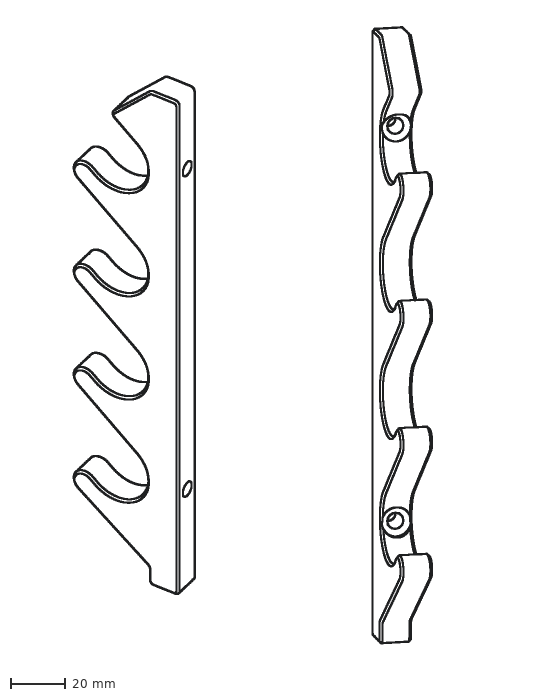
import cadquery as cq
import math

height = 231.0
depth = 46.7
thickness = 12.0
edge_chamfer = 1.0
corner_radius = 2.0

hook_count = 4
pitch = 48.3
saddle_radius = 13.6
tip_radius = 5.0
saddle_x = -27.5
top_saddle_z = 193.0

top_width = 12.5
beak_angle = 45.0
beak_radius = 2.0
foot_width = 13.2
foot_height = 8.0

hole_diameter = 6.0
sink_diameter = 11.0
sink_angle = 120.0
hole_heights = (46.5, 196.4)

hook_angle = math.acos(2 * (saddle_radius + tip_radius) / pitch)
normal = (math.sin(hook_angle), math.cos(hook_angle))
tip_x = tip_radius - depth
flank_length = (
    saddle_x - tip_x - (saddle_radius + tip_radius) * normal[0]
) / math.cos(hook_angle)
tip_drop = (saddle_radius + tip_radius) * normal[1] - flank_length * math.sin(hook_angle)


def along(center, direction, distance):
    """Point at a distance from a centre along a unit direction."""
    return (center[0] + distance * direction[0], center[1] + distance * direction[1])


def underside_normal_to(tip, corner):
    """Unit normal, pointing away from the tip, of its lower tangent through a corner."""
    dx = corner[0] - tip[0]
    dz = corner[1] - tip[1]
    angle = math.atan2(dz, dx) - math.acos(tip_radius / math.hypot(dx, dz))
    return (math.cos(angle), math.sin(angle))


def beak_point():
    """Sharp meeting point of the beak's slope and the top saddle's upper flank."""
    start = along((saddle_x, top_saddle_z), normal, saddle_radius)
    rise = math.tan(math.radians(beak_angle))
    fall = math.tan(hook_angle)
    x = (start[1] + fall * start[0] - height - rise * top_width) / (rise + fall)
    return (x, height + rise * (x + top_width))


def make_profile():
    foot_corner = (-foot_width, foot_height)
    outline = cq.Workplane("XZ").moveTo(0, 0).lineTo(0, height)
    outline = outline.lineTo(-top_width, height).lineTo(*beak_point())
    for index in range(hook_count):
        saddle = (saddle_x, top_saddle_z - index * pitch)
        tip = (tip_x, saddle[1] - tip_drop)
        saddle_middle = (normal[1], -normal[0])
        outline = outline.lineTo(*along(saddle, normal, saddle_radius))
        outline = outline.threePointArc(
            along(saddle, saddle_middle, saddle_radius),
            along(saddle, normal, -saddle_radius),
        )
        if index < hook_count - 1:
            tip_end = along(tip, normal, -tip_radius)
        else:
            tip_end = along(tip, underside_normal_to(tip, foot_corner), tip_radius)
        outline = outline.lineTo(*along(tip, normal, tip_radius))
        outline = outline.threePointArc((tip_x - tip_radius, tip[1]), tip_end)
    outline = outline.lineTo(*foot_corner).lineTo(-foot_width, 0).close()
    return outline.extrude(thickness / 2, both=True)


def round_corners(body):
    corners = [(0, 0), (0, height), (-foot_width, 0), (-foot_width, foot_height), (-top_width, height)]
    for x, z in corners:
        edge = cq.selectors.NearestToPointSelector((x, 0, z))
        body = body.edges(edge).fillet(corner_radius)
    x, z = beak_point()
    return body.edges(cq.selectors.NearestToPointSelector((x, 0, z))).fillet(beak_radius)


def screw_hole(z):
    """Cutter along X: bore to the deepest point of the saddle, then a cone, then the hole."""
    rim_x = saddle_x + saddle_radius
    hole_radius = hole_diameter / 2
    sink_radius = sink_diameter / 2
    sink_depth = (sink_radius - hole_radius) / math.tan(math.radians(sink_angle / 2))
    cutter = (
        cq.Workplane("XY")
        .moveTo(saddle_x, 0)
        .lineTo(saddle_x, sink_radius)
        .lineTo(rim_x, sink_radius)
        .lineTo(rim_x + sink_depth, hole_radius)
        .lineTo(0, hole_radius)
        .lineTo(0, 0)
        .close()
        .revolve(360, (0, 0, 0), (1, 0, 0))
    )
    return cutter.translate((0, 0, z))


body = round_corners(make_profile())
result = body.faces("<Y or >Y").edges().chamfer(edge_chamfer)
for hole_z in hole_heights:
    result = result.cut(screw_hole(hole_z))